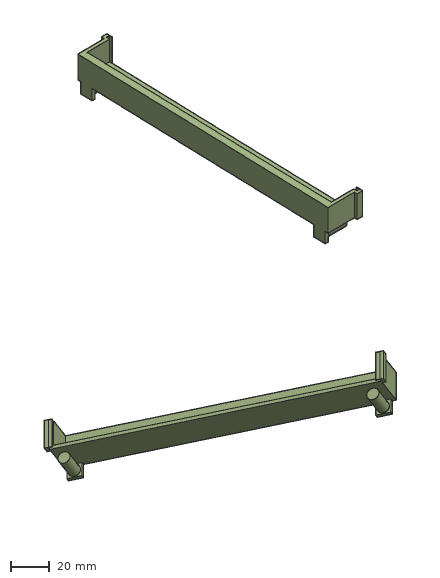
import cadquery as cq

length = 188.0
depth = 23.0
height = 24.5

body_height = 16.5
front_wall = 4.5
side_wall = 2.3
floor_thickness = 2.0

hook_step = 2.0
hook_depth = 4.0
lip_thickness = 0.5
slot_depth = 1.7

foot_width = 8.5
foot_thickness = 2.3
foot_inset = 4.1
peg_diameter = 6.8
peg_end = 16.5
peg_gap = 0.5

half_length = length / 2
body_half = half_length - hook_step
inner_half = body_half - side_wall
body_depth = depth - lip_thickness - slot_depth
foot_height = height - body_height


def block(x_min, x_max, y_min, y_max, z_min, z_max):
    """Box given by its limits along each axis."""
    size = (x_max - x_min, y_max - y_min, z_max - z_min)
    return cq.Workplane("XY").box(*size, centered=False).translate((x_min, y_min, z_min))


def make_tray():
    """Floor with a front wall and two side walls, open at the rear."""
    outer = block(-body_half, body_half, 0, body_depth, foot_height, height)
    cavity = block(-inner_half, inner_half, front_wall, depth, foot_height + floor_thickness, height)
    return outer.cut(cavity)


def make_hook():
    """Right-hand rail whose lip turns inward behind the side wall."""
    outline = [
        (body_half, depth - hook_depth),
        (half_length, depth - hook_depth),
        (half_length, depth),
        (inner_half, depth),
        (inner_half, depth - lip_thickness),
        (body_half, depth - lip_thickness),
    ]
    return (
        cq.Workplane("XY").workplane(offset=foot_height)
        .polyline(outline).close().extrude(body_height)
    )


def make_foot():
    """Right-hand foot plate and its round peg."""
    foot_outer = half_length - foot_inset
    plate = block(foot_outer - foot_width, foot_outer, 0, foot_thickness, 0, foot_height)
    peg_x = foot_outer - foot_width / 2
    peg_z = foot_height - peg_gap - peg_diameter / 2
    peg = (
        cq.Workplane("XZ", origin=(peg_x, 0, peg_z))
        .circle(peg_diameter / 2).extrude(-peg_end)
    )
    return plate.union(peg)


right_end = make_hook().union(make_foot())
left_end = right_end.mirror("YZ")
result = make_tray().union(right_end).union(left_end)